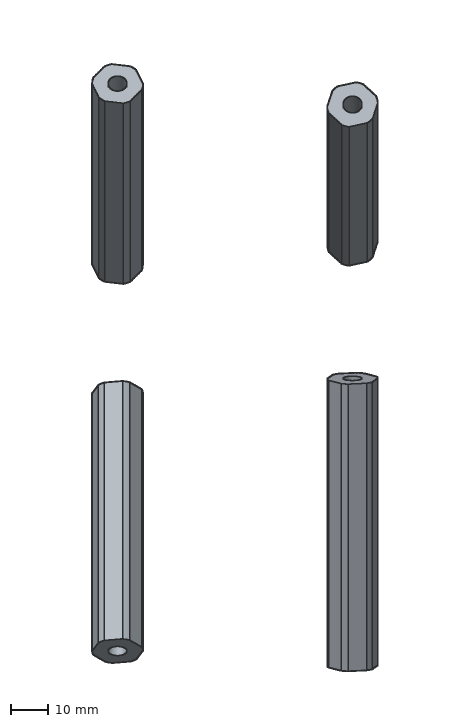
import cadquery as cq
import math

length = 79.4
across_flats = 12.8
across_corners = 13.7
bore_diameter = 5.1

sharp_corner_diameter = across_flats / math.cos(math.radians(30))
hex_bar = cq.Workplane("XY").polygon(6, sharp_corner_diameter).extrude(length)

round_bar = cq.Workplane("XY").circle(across_corners / 2).extrude(length)
spacer = hex_bar.intersect(round_bar)

bore = cq.Workplane("XY").circle(bore_diameter / 2).extrude(length)
result = spacer.cut(bore)